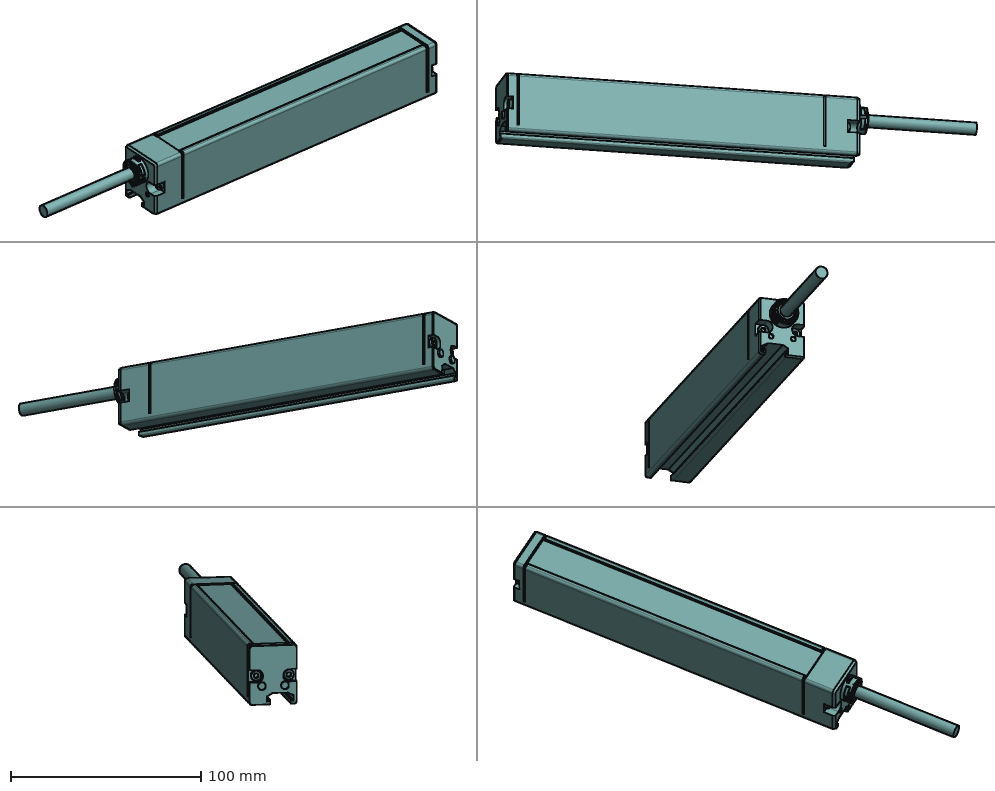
import cadquery as cq

WIDTH = 25.5
HEIGHT = 31.8
FRONT_Y = -63.1
REAR_Y = 127.3
SCREW_END_Y = 128.4
CABLE_END_Y = -128.4
HALF_WIDTH = WIDTH / 2
HALF_HEIGHT = HEIGHT / 2

LONG_EDGE_RADIUS = 1.5
FRONT_CHAMFER_LENGTH = 1.5
FRONT_CHAMFER_INSET = 0.8
REAR_CHAMFER_LENGTH = 0.8
REAR_CHAMFER_INSET = 0.3

JOINT_WIDTH = 1.0
JOINT_DEPTH = 0.5
JOINT_BOTTOM_Z = -HALF_HEIGHT + 3.5
FRONT_CAP_Y = -44.7
REAR_CAP_Y = 121.7

WINDOW_WIDTH = 19.0
WINDOW_DEPTH = 0.8
WINDOW_BEVEL = 0.5

CHANNEL_X = -3.9
CHANNEL_TOP_Z = -9.8
CHANNEL_TOP_HALF = 4.0
CHANNEL_SHOULDER_Z = -11.5
CHANNEL_HALF = 7.2
CHANNEL_FLOOR_Z = -14.0
LIP_TIP_Z = -13.3
LIP_TIP_WIDTH = 0.8
CHANNEL_MOUTH_HALF = 5.5
LIP_CORNER_RADIUS = 0.8

SEAT_X = 8.7
SEAT_Z = -0.5
SEAT_DIAMETER = 6.7
FRONT_SEAT_DEPTH = 6.7
REAR_SEAT_DEPTH = 3.3
BOLT_HEAD_DIAMETER = 5.5
BOLT_HEAD_HEIGHT = 1.5
BOLT_SOCKET_DIAMETER = 2.5

SCREW_X = 6.2
SCREW_Z = -5.6
SCREW_RECESS_DIAMETER = 2.5
SCREW_RECESS_DEPTH = 0.8
SCREW_HEAD_DIAMETER = 4.0
SCREW_HEAD_HEIGHT = SCREW_END_Y - REAR_Y

CABLE_Z = 7.0
CABLE_DIAMETER = 6.7
GLAND_DIAMETER = 14.0
GLAND_LENGTH = 5.6
NOSE_DIAMETER = 9.2
NOSE_LENGTH = 0.8
GRIP_OFFSET = 2.0
GRIP_LENGTH = 2.0
GRIP_DEPTH = 0.5
UPRIGHT_RIB_WIDTH = 7.2
SIDE_RIB_WIDTH = 1.5
END_GROOVE_OUTER = 12.8
END_GROOVE_INNER = 11.3
END_GROOVE_DEPTH = 0.8
LUG_WIDTH = 4.0
LUG_LENGTH = 1.3
LUG_OFFSET = 1.3
LUG_HEIGHT = 0.8


def box_between(x0, x1, y0, y1, z0, z1):
    """Box given by its limits along each axis."""
    return cq.Workplane("XY").box(x1 - x0, y1 - y0, z1 - z0, centered=False).translate((x0, y0, z0))


def rod(diameter, x, z, y_start, y_end):
    """Cylinder along Y from y_start to the larger y_end."""
    plane = cq.Workplane("XZ", origin=(x, y_start, z))
    return plane.circle(diameter / 2).extrude(y_start - y_end)


def housing_block():
    """Outer bar with rounded long edges and bevelled end rims."""
    block = box_between(-HALF_WIDTH, HALF_WIDTH, FRONT_Y, REAR_Y, -HALF_HEIGHT, HALF_HEIGHT)
    block = block.edges("|Y").fillet(LONG_EDGE_RADIUS)
    block = block.faces("<Y").edges().chamfer(FRONT_CHAMFER_INSET, FRONT_CHAMFER_LENGTH)
    return block.faces(">Y").edges().chamfer(REAR_CHAMFER_INSET, REAR_CHAMFER_LENGTH)


def mounting_channel():
    """Undercut channel with hooked lips, running the full length."""
    half_outline = [
        (CHANNEL_TOP_HALF, CHANNEL_TOP_Z),
        (CHANNEL_HALF, CHANNEL_SHOULDER_Z),
        (CHANNEL_HALF, CHANNEL_FLOOR_Z),
        (CHANNEL_MOUTH_HALF + LIP_TIP_WIDTH, CHANNEL_FLOOR_Z),
        (CHANNEL_MOUTH_HALF + LIP_TIP_WIDTH, LIP_TIP_Z),
        (CHANNEL_MOUTH_HALF, LIP_TIP_Z),
        (CHANNEL_MOUTH_HALF, -HALF_HEIGHT),
    ]
    right_side = [(CHANNEL_X + x, z) for x, z in half_outline]
    left_side = [(CHANNEL_X - x, z) for x, z in reversed(half_outline)]
    plane = cq.Workplane("XZ", origin=(0, FRONT_Y, 0))
    return plane.polyline(right_side + left_side).close().extrude(FRONT_Y - REAR_Y)


def round_lip_corners(housing):
    """Rounds the two long edges where the channel mouth meets the underside."""
    for side in (-1, 1):
        corner = (CHANNEL_X + side * CHANNEL_MOUTH_HALF, (FRONT_Y + REAR_Y) / 2, -HALF_HEIGHT)
        housing = housing.edges(cq.selectors.NearestToPointSelector(corner)).fillet(LIP_CORNER_RADIUS)
    return housing


def joint_groove(y0, y1):
    """Shallow groove over the top and both sides, following the rounded top edges."""
    band = box_between(-HALF_WIDTH, HALF_WIDTH, y0, y1, JOINT_BOTTOM_Z, HALF_HEIGHT)
    core_half = HALF_WIDTH - JOINT_DEPTH
    core = box_between(-core_half, core_half, y0, y1, JOINT_BOTTOM_Z, HALF_HEIGHT - JOINT_DEPTH)
    core = core.edges("|Y and >Z").fillet(LONG_EDGE_RADIUS - JOINT_DEPTH)
    return band.cut(core)


def window_recess():
    """Shallow recess for the window, with bevelled rims along its sides and rear."""
    half = WINDOW_WIDTH / 2
    floor_z = HALF_HEIGHT - WINDOW_DEPTH
    recess = box_between(-half, half, FRONT_CAP_Y, REAR_CAP_Y, floor_z, HALF_HEIGHT)
    bevelled_edges = recess.faces("<Z").edges("|Y or >Y")
    return bevelled_edges.chamfer(WINDOW_BEVEL)


def bolt_seat(side, face_y, depth):
    """Round-ended seat open to one side (+1 or -1), cut around the socketed bolt head on its floor."""
    inward = 1 if face_y == FRONT_Y else -1
    floor_y = face_y + inward * depth
    head_y = floor_y - inward * BOLT_HEAD_HEIGHT
    radius = SEAT_DIAMETER / 2
    y0, y1 = sorted((face_y, floor_y))
    head_y0, head_y1 = sorted((head_y, floor_y))
    x0, x1 = sorted((side * SEAT_X, side * HALF_WIDTH))
    seat = rod(SEAT_DIAMETER, side * SEAT_X, SEAT_Z, y0, y1)
    opening = box_between(x0, x1, y0, y1, SEAT_Z - radius, SEAT_Z + radius)
    head = rod(BOLT_HEAD_DIAMETER, side * SEAT_X, SEAT_Z, head_y0, head_y1)
    socket = rod(BOLT_SOCKET_DIAMETER, side * SEAT_X, SEAT_Z, head_y0, head_y1)
    return seat.union(opening).cut(head.cut(socket))


def make_housing():
    """Complete housing with its end caps, channel and screws."""
    housing = round_lip_corners(housing_block().cut(mounting_channel()))
    housing = housing.cut(window_recess())
    housing = housing.cut(joint_groove(FRONT_CAP_Y, FRONT_CAP_Y + JOINT_WIDTH))
    housing = housing.cut(joint_groove(REAR_CAP_Y - JOINT_WIDTH, REAR_CAP_Y))
    for side in (-1, 1):
        housing = housing.cut(bolt_seat(side, FRONT_Y, FRONT_SEAT_DEPTH))
        housing = housing.cut(bolt_seat(side, REAR_Y, REAR_SEAT_DEPTH))
        screw_x = side * SCREW_X
        recess_end = FRONT_Y + SCREW_RECESS_DEPTH
        housing = housing.cut(rod(SCREW_RECESS_DIAMETER, screw_x, SCREW_Z, FRONT_Y, recess_end))
        head_end = REAR_Y + SCREW_HEAD_HEIGHT
        housing = housing.union(rod(SCREW_HEAD_DIAMETER, screw_x, SCREW_Z, REAR_Y, head_end))
    return housing


def grip_recesses():
    """Ring-shaped recess around the gland, interrupted by four ribs at right angles."""
    y1 = FRONT_Y - GRIP_OFFSET
    y0 = y1 - GRIP_LENGTH
    recesses = rod(GLAND_DIAMETER, 0, CABLE_Z, y0, y1)
    recesses = recesses.cut(rod(GLAND_DIAMETER - 2 * GRIP_DEPTH, 0, CABLE_Z, y0, y1))
    half_upright = UPRIGHT_RIB_WIDTH / 2
    half_side = SIDE_RIB_WIDTH / 2
    reach = GLAND_DIAMETER / 2
    upright = box_between(-half_upright, half_upright, y0, y1, CABLE_Z - reach, CABLE_Z + reach)
    level = box_between(-reach, reach, y0, y1, CABLE_Z - half_side, CABLE_Z + half_side)
    return recesses.cut(upright).cut(level)


def end_groove(gland_end):
    """Ring groove in the end face of the gland, around the nose."""
    inner_y = gland_end + END_GROOVE_DEPTH
    groove = rod(END_GROOVE_OUTER, 0, CABLE_Z, gland_end, inner_y)
    return groove.cut(rod(END_GROOVE_INNER, 0, CABLE_Z, gland_end, inner_y))


def make_cable():
    """Cable moulded into its gland, with an index lug on top of the gland."""
    gland_end = FRONT_Y - GLAND_LENGTH
    nose_end = gland_end - NOSE_LENGTH
    gland = rod(GLAND_DIAMETER, 0, CABLE_Z, gland_end, FRONT_Y)
    gland = gland.cut(grip_recesses()).cut(end_groove(gland_end))
    nose = rod(NOSE_DIAMETER, 0, CABLE_Z, nose_end, gland_end)
    cord = rod(CABLE_DIAMETER, 0, CABLE_Z, CABLE_END_Y, nose_end)
    lug_y = FRONT_Y - LUG_OFFSET
    lug_top = CABLE_Z + GLAND_DIAMETER / 2 + LUG_HEIGHT
    lug_root = CABLE_Z + NOSE_DIAMETER / 2
    half_lug = LUG_WIDTH / 2
    lug = box_between(-half_lug, half_lug, lug_y - LUG_LENGTH, lug_y, lug_root, lug_top)
    return gland.union(nose).union(cord).union(lug)


housing = make_housing()
cable = make_cable()

result = cq.Compound.makeCompound([housing.val(), cable.val()])